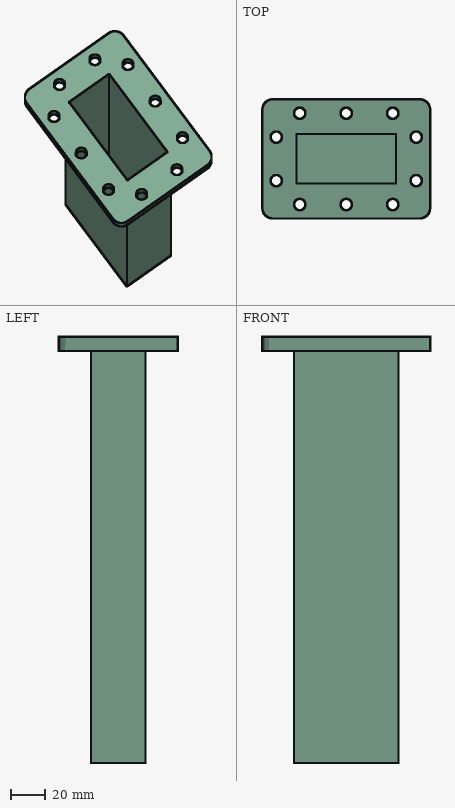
import cadquery as cq

flange_length = 98.5
flange_width = 70.0
flange_thickness = 8.5
flange_corner_radius = 6.2

total_height = 250.0
bore_length = 58.2
bore_width = 29.0
wall = 1.5
tube_length = bore_length + 2 * wall
tube_width = bore_width + 2 * wall
floor_thickness = wall

hole_diameter = 6.5
long_edge_hole_pitch = 27.2
long_edge_hole_offset = 26.8
short_edge_hole_offset = 41.0
short_edge_hole_spacing = 25.5


def make_tube():
    """Solid outside of the tube, standing on Z = 0."""
    return cq.Workplane("XY").rect(tube_length, tube_width).extrude(total_height)


def make_flange():
    """Plate with rounded corners, flush with the top of the tube."""
    return (
        cq.Workplane("XY")
        .workplane(offset=total_height - flange_thickness)
        .rect(flange_length, flange_width)
        .extrude(flange_thickness)
        .edges("|Z")
        .fillet(flange_corner_radius)
    )


def make_bore():
    """Rectangular cavity, open at the top and ending at the floor."""
    return (
        cq.Workplane("XY")
        .workplane(offset=floor_thickness)
        .rect(bore_length, bore_width)
        .extrude(total_height - floor_thickness)
    )


def bolt_positions():
    """Three holes along each long edge and two along each short edge."""
    positions = []
    for side in (-1, 1):
        for step in (-1, 0, 1):
            positions.append((step * long_edge_hole_pitch, side * long_edge_hole_offset))
        for half in (-0.5, 0.5):
            positions.append((side * short_edge_hole_offset, half * short_edge_hole_spacing))
    return positions


def make_bolt_holes():
    """Cylinders passing through the flange thickness."""
    return (
        cq.Workplane("XY")
        .workplane(offset=total_height - flange_thickness)
        .pushPoints(bolt_positions())
        .circle(hole_diameter / 2)
        .extrude(flange_thickness)
    )


result = make_tube().union(make_flange()).cut(make_bore()).cut(make_bolt_holes())